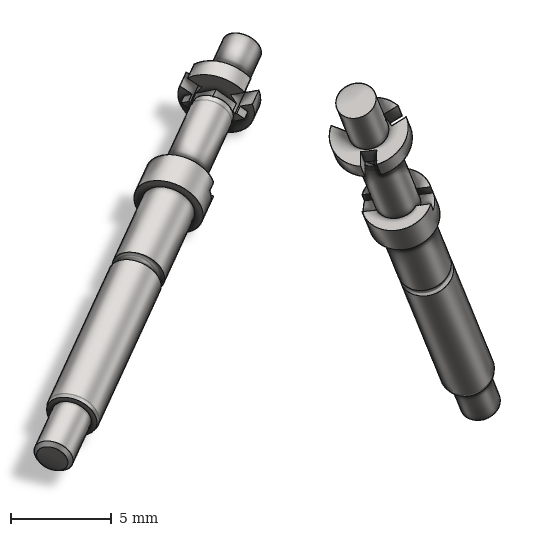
import cadquery as cq

length = 29.3
back_end = length / 2

tip_radius = 2.05 / 2
shaft_radius = 2.23 / 2
body_radius = 2.75 / 2
collar_radius = 3.63 / 2
flange_radius = 4.0 / 2

flange_start = 3.0
flange_end = 3.98
neck_end = 4.5
collar_start = 9.5
collar_end = 11.35
groove_center = 16.25
body_end = 26.28

tip_chamfer = 0.2
body_lead_length = 0.2
body_lead_drop = 0.05
shaft_lead_length = 0.35
shaft_lead_drop = 0.03

groove_radius = 0.25

neck_half_width = 1.67
neck_half_height = 1.05

slot_width = 0.82
slot_floor_offset = 1.1
slot_angles = (30, 150, 270)

notch_width = 1.0
notch_depth = 0.6


def section_at(distance):
    """Workplane across the pin, facing the tip, with X right and Z up."""
    return cq.Workplane("XZ", origin=(0, back_end - distance, 0))


def rod(start, end, radius):
    return section_at(start).circle(radius).extrude(end - start)


def make_neck():
    """Diamond prism, widest along X."""
    corners = [
        (neck_half_width, 0),
        (0, neck_half_height),
        (-neck_half_width, 0),
        (0, -neck_half_height),
    ]
    return section_at(flange_end).polyline(corners).close().extrude(neck_end - flange_end)


def make_flange_and_neck():
    """Flange disc and neck, both cut by the same three outward-facing slots."""
    head = rod(flange_start, flange_end, flange_radius).union(make_neck())
    for angle in slot_angles:
        slot = (
            section_at(flange_start)
            .transformed(rotate=(0, 0, angle))
            .center(slot_floor_offset + flange_radius / 2, 0)
            .rect(flange_radius, slot_width)
            .extrude(neck_end - flange_start)
        )
        head = head.cut(slot)
    return head


def make_shaft():
    """Cylinder with a slight taper leading in from the neck."""
    shaft = rod(neck_end, collar_start, shaft_radius)
    return shaft.faces(">Y").chamfer(shaft_lead_length, shaft_lead_drop)


def make_collar():
    """Disc with a notch on each X side, open towards the back end."""
    notch = (
        section_at(collar_start)
        .rect(2 * collar_radius, notch_width)
        .extrude(notch_depth)
    )
    core = rod(collar_start, collar_end, shaft_radius)
    return rod(collar_start, collar_end, collar_radius).cut(notch).union(core)


def make_body():
    """Cylinder with a tapered front edge and a round-bottomed groove."""
    body = rod(collar_end, body_end, body_radius)
    body = body.faces("<Y").chamfer(body_lead_length, body_lead_drop)
    groove = (
        cq.Workplane("XY")
        .center(body_radius, back_end - groove_center)
        .circle(groove_radius)
        .revolve(360, (-body_radius, 0, 0), (-body_radius, 1, 0))
    )
    return body.cut(groove)


def make_tip():
    return rod(body_end, length, tip_radius).faces("<Y").chamfer(tip_chamfer)


result = (
    rod(0, flange_start, tip_radius)
    .union(make_flange_and_neck())
    .union(make_shaft())
    .union(make_collar())
    .union(make_body())
    .union(make_tip())
)